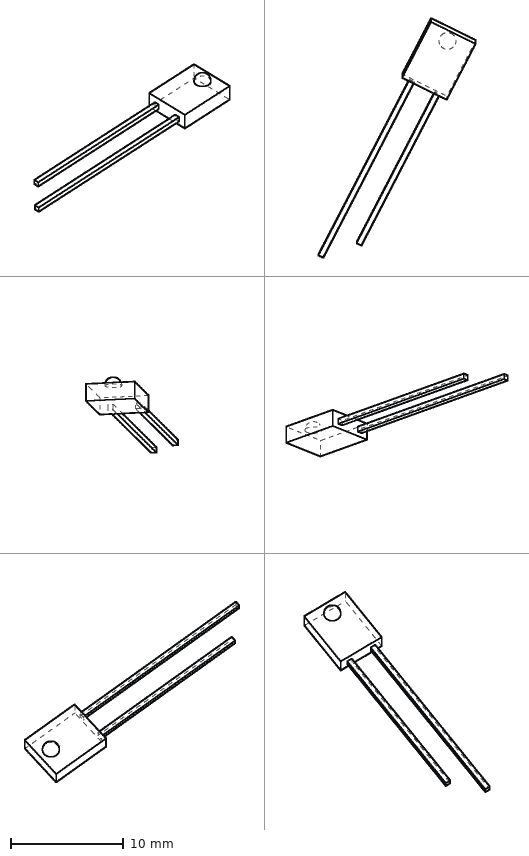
import cadquery as cq

body_width = 4.45
body_length = 5.73
body_height = 1.56

lens_radius = 0.75
lens_from_back = 1.2

overall_length = 23.7
lead_size = 0.5
lead_pitch = 2.53
lead_center_z = 0.66
long_lead_length = overall_length - body_length
short_lead_length = long_lead_length - 2.53


def make_body():
    return cq.Workplane("XY").box(body_width, body_length, body_height, centered=(True, False, False))


def make_lens():
    """Full sphere centred on the top face; its lower half is buried in the body."""
    lens_center = (0, body_length - lens_from_back, body_height)
    return cq.Workplane("XY").sphere(lens_radius).translate(lens_center)


def make_lead(center_x, length):
    """Square lead running from the front face of the body towards -Y."""
    return (
        cq.Workplane("XZ")
        .center(center_x, lead_center_z)
        .rect(lead_size, lead_size)
        .extrude(length)
    )


result = make_body().union(make_lens())
for center_x, length in (
    (-lead_pitch / 2, short_lead_length),
    (lead_pitch / 2, long_lead_length),
):
    result = result.union(make_lead(center_x, length))